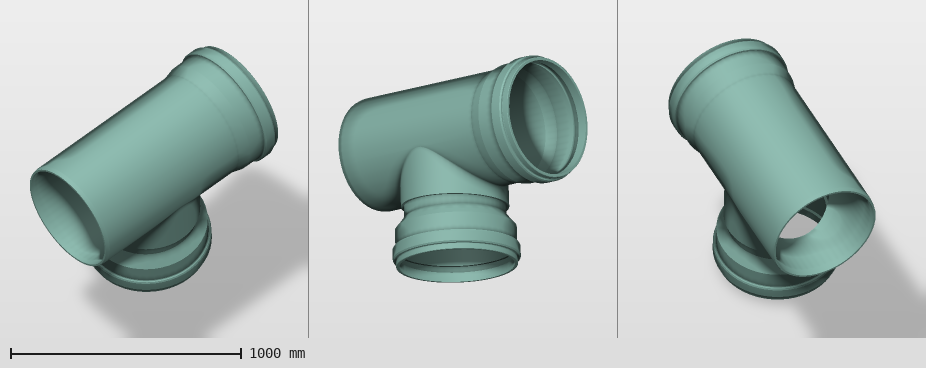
import cadquery as cq
import math

RUN_LENGTH = 990.0
RUN_OUTER_DIAMETER = 500.0
WALL = 12.4
SPIGOT_TAPER_LENGTH = 20.0
SPIGOT_TAPER_DEPTH = 4.0

SOCKET_OUTER_DIAMETER = 529.0
SOCKET_BORE_DIAMETER = 502.0
RING_OUTER_DIAMETER = 555.0
RING_BORE_DIAMETER = 528.0
LIP_LENGTH = 28.0
RING_LENGTH = 57.0
RING_WALL = (RING_OUTER_DIAMETER - RING_BORE_DIAMETER) / 2
RING_BEVEL = 7.0
RING_BEVEL_DEPTH = 4.0
EDGE_BREAK = 2.0
SOCKET_DEPTH = 166.0
RUN_CONE_LENGTH = 54.0

STUB_OUTER_DIAMETER = 469.0
STUB_Y = 456.0
JUNCTION_FILLET = 4.0
STUB_END_Z = -309.0
NECK_OUTER_DIAMETER = 445.0
BRANCH_TILT = 2.5
MOUTH_CENTRE_Z = -574.0
BRANCH_CONE_LENGTH = 52.0
NECK_LENGTH = 79.0


def revolved(points):
    """Revolve (radius, height) points around the Z axis."""
    closed = points + [(0, points[-1][1]), (0, points[0][1])]
    return cq.Workplane("XZ").polyline(closed).close().revolve(360, (0, 0, 0), (0, 1, 0))


def socket_outside():
    """Points (radius, distance from the mouth) of the socket's outer side."""
    socket_radius = SOCKET_OUTER_DIAMETER / 2
    ring_radius = RING_OUTER_DIAMETER / 2
    flank_radius = ring_radius - RING_BEVEL_DEPTH
    ring_start = LIP_LENGTH
    ring_end = ring_start + RING_LENGTH
    return [
        (socket_radius - EDGE_BREAK, 0),
        (socket_radius, EDGE_BREAK),
        (socket_radius, ring_start - EDGE_BREAK),
        (socket_radius + EDGE_BREAK, ring_start),
        (flank_radius, ring_start),
        (ring_radius, ring_start + RING_BEVEL),
        (ring_radius, ring_end - RING_BEVEL),
        (flank_radius, ring_end),
        (socket_radius + EDGE_BREAK, ring_end),
        (socket_radius, ring_end + EDGE_BREAK),
        (socket_radius, SOCKET_DEPTH),
    ]


def socket_inside():
    """Points (radius, distance from the mouth) of the socket's bore and seal groove."""
    bore_radius = SOCKET_BORE_DIAMETER / 2
    groove_radius = RING_BORE_DIAMETER / 2
    groove_start = LIP_LENGTH + RING_WALL
    groove_end = LIP_LENGTH + RING_LENGTH - RING_WALL
    return [
        (bore_radius, 0),
        (bore_radius, groove_start),
        (groove_radius, groove_start),
        (groove_radius, groove_end),
        (bore_radius, groove_end),
        (bore_radius, SOCKET_DEPTH),
    ]


def along_run(body):
    """Turn a body built with its mouth at Z = 0 so its mouth faces +Y at the run's end."""
    return body.rotate((0, 0, 0), (1, 0, 0), 90).translate((0, RUN_LENGTH, 0))


def along_branch(body):
    """Tilt a body built with its mouth at Z = 0 onto the branch's mouth."""
    return body.translate((0, 0, MOUTH_CENTRE_Z - STUB_END_Z)).rotate(
        (0, 0, 0), (1, 0, 0), BRANCH_TILT
    ).translate((0, STUB_Y, STUB_END_Z))


def stub_cylinder(diameter):
    """Cylinder on the tilted branch axis, from the run's axis to the stub's level end."""
    tilt = math.radians(BRANCH_TILT)
    top = -STUB_END_Z / math.cos(tilt)
    overshoot = diameter * math.tan(tilt)
    cylinder = cq.Workplane("XY").workplane(offset=-overshoot).circle(diameter / 2).extrude(top + overshoot)
    cylinder = cylinder.rotate((0, 0, 0), (1, 0, 0), BRANCH_TILT).translate((0, STUB_Y, STUB_END_Z))
    below_end = cq.Workplane("XY").box(
        2 * diameter, 2 * diameter, diameter, centered=(True, True, False)
    ).translate((0, STUB_Y, STUB_END_Z - diameter))
    return cylinder.cut(below_end)


def make_tee():
    """Run pipe with its socket and the stub that takes the branch socket."""
    outer_radius = RUN_OUTER_DIAMETER / 2
    bore_radius = outer_radius - WALL
    cone_end = SOCKET_DEPTH + RUN_CONE_LENGTH
    outside = socket_outside() + [
        (outer_radius, cone_end),
        (outer_radius, RUN_LENGTH - SPIGOT_TAPER_LENGTH),
        (outer_radius - SPIGOT_TAPER_DEPTH, RUN_LENGTH),
    ]
    inside = socket_inside() + [(bore_radius, cone_end), (bore_radius, RUN_LENGTH)]
    stub = stub_cylinder(STUB_OUTER_DIAMETER)
    stub_bore = stub_cylinder(NECK_OUTER_DIAMETER)
    body = along_run(revolved(outside)).union(stub)
    half_width = STUB_OUTER_DIAMETER / 2
    junction = body.edges(
        cq.selectors.BoxSelector(
            (-half_width, STUB_Y - half_width, -outer_radius),
            (half_width, STUB_Y + half_width, -WALL),
        )
    )
    body = junction.fillet(JUNCTION_FILLET)
    return body.cut(along_run(revolved(inside))).cut(stub_bore)


def make_branch_socket():
    """Tilted socket whose neck fills the lower part of the stub's bore."""
    neck_radius = NECK_OUTER_DIAMETER / 2
    neck_start = SOCKET_DEPTH + BRANCH_CONE_LENGTH
    neck_end = neck_start + NECK_LENGTH
    outside = socket_outside() + [(neck_radius, neck_start), (neck_radius, neck_end)]
    inside = socket_inside() + [(neck_radius - WALL, neck_start), (neck_radius - WALL, neck_end)]
    return along_branch(revolved(outside).cut(revolved(inside)))


tee = make_tee()
branch_socket = make_branch_socket()
result = cq.Compound.makeCompound([tee.val(), branch_socket.val()])